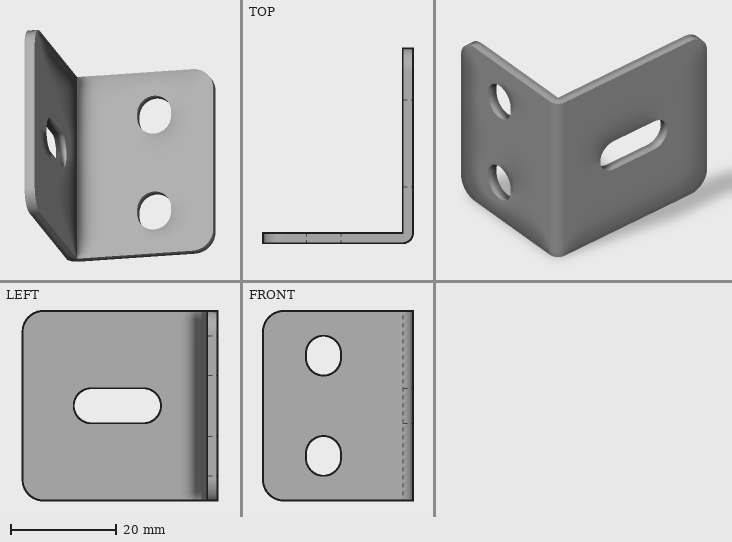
import cadquery as cq

width = 28.5
depth = 37.0
height = 36.0
thickness = 2.0
bend_radius = 2.0
corner_radius = 4.0

slot_width = 6.6
front_slot_length = 7.5
front_slot_spacing = 19.0
front_slot_from_bend = 17.0
side_slot_length = 16.5
side_slot_from_bend = 19.0


def make_angle():
    """L profile in plan, extruded upward, with a rounded outer bend.

    The front leg lies along X at Y = 0, the side leg along Y at X = width.
    """
    front_leg = cq.Workplane("XY").box(width, thickness, height, centered=False)
    side_leg = (
        cq.Workplane("XY")
        .box(thickness, depth, height, centered=False)
        .translate((width - thickness, 0, 0))
    )
    angle = front_leg.union(side_leg)
    return angle.edges("|Z and >X and <Y").fillet(bend_radius)


def round_free_corners(body):
    """Round the top and bottom corners at the free end of each leg."""
    body = body.faces("<X").edges("|Y").fillet(corner_radius)
    return body.faces(">Y").edges("|X").fillet(corner_radius)


def make_front_slots():
    """Two short upright slots through the front leg, one above the other."""
    half_spacing = front_slot_spacing / 2
    return (
        cq.Workplane("XZ")
        .center(width - front_slot_from_bend, height / 2)
        .pushPoints([(0, -half_spacing), (0, half_spacing)])
        .slot2D(front_slot_length, slot_width, 90)
        .extrude(-thickness)
    )


def make_side_slot():
    """One long slot along Y through the side leg, at mid height."""
    return (
        cq.Workplane("YZ", origin=(width - thickness, 0, 0))
        .center(side_slot_from_bend, height / 2)
        .slot2D(side_slot_length, slot_width)
        .extrude(thickness)
    )


bracket = round_free_corners(make_angle())
result = bracket.cut(make_front_slots()).cut(make_side_slot())